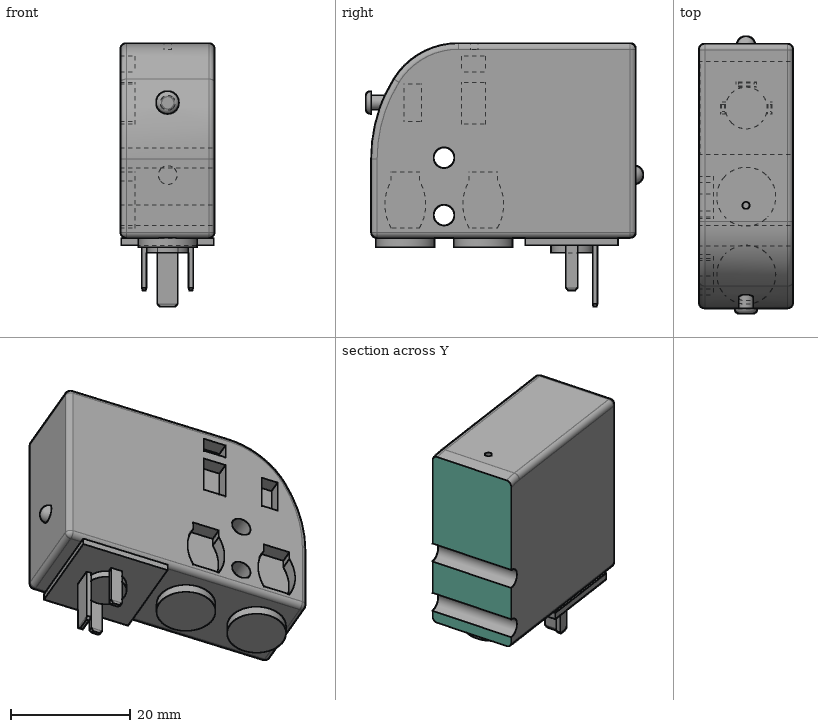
import cadquery as cq
import math


width = 15.85
length = 44.45
height = 32.71
edge_round = 1.0

upper_radius = 12.7
lower_radius = 25.4
nose_start_z = 13.32

port_diameter = 9.9
port_height = 1.57
port_pitch = 13.08
first_port_y = 5.72
port_ys = [first_port_y, first_port_y + port_pitch]

recess_depth = 2.4
bottle_floor_z = 1.73
bottle_shoulder_z = 9.63
bottle_top_z = 11.1
bottle_neck_width = 4.75
bottle_belly_width = 6.86
window_width = 4.03
window_y = 17.2
upper_window_z = (27.89, 30.56)
lower_window_z = (19.2, 26.16)
front_window_width = 2.93
front_window_y = 7.0
front_window_z = (19.61, 25.86)

mount_hole_diameter = 3.42
mount_hole_y = first_port_y + port_pitch / 2
mount_hole_zs = [3.84, 13.47]

top_hole_diameter = 1.2
top_hole_depth = 1.0
top_hole_y = 17.3

button_z = 22.73
button_stem_diameter = 2.5
button_head_diameter = 3.86
button_head_thickness = 0.98
button_head_round = 0.9
button_reach = 0.91
button_stem_end_y = 5.0

dome_z = 10.6
dome_radius = 1.6
dome_reach = 1.27

plate_side = 15.6
plate_thickness = 1.22
plate_y = 33.68
boss_diameter = 7.0
boss_bottom_z = -2.48
contact_offset = 3.92
contact_thickness = 0.82
contact_width = 2.03
contact_bottom_z = -8.82
ground_width = 3.46
ground_bottom_z = -11.56
tip_height = 0.5
tip_side_inset = 0.45
tip_face_inset = 0.15


def side_plane():
    """Sketch plane on the -X side face, with local axes along Y and Z."""
    return cq.Workplane("YZ", origin=(-width / 2, 0, 0))


def make_shell():
    """Rounded block with the two-arc nose at its upper front corner."""
    upper_centre_z = height - upper_radius
    rise = upper_centre_z - nose_start_z
    centre_distance = lower_radius - upper_radius
    tangent_angle = math.asin(rise / centre_distance)
    upper_centre_y = lower_radius - centre_distance * math.cos(tangent_angle)

    def lower_point(angle):
        return (lower_radius * (1 - math.cos(angle)), nose_start_z + lower_radius * math.sin(angle))

    def upper_point(angle):
        point_y = upper_centre_y - upper_radius * math.cos(angle)
        point_z = upper_centre_z + upper_radius * math.sin(angle)
        return (point_y, point_z)

    return (
        side_plane()
        .moveTo(0, 0)
        .lineTo(0, nose_start_z)
        .threePointArc(lower_point(tangent_angle / 2), lower_point(tangent_angle))
        .threePointArc(upper_point((tangent_angle + math.pi / 2) / 2), (upper_centre_y, height))
        .lineTo(length, height)
        .lineTo(length, 0)
        .close()
        .extrude(width)
        .edges("<X or >X or <Z or >Y")
        .fillet(edge_round)
    )


def make_window(centre_y, opening_width, z_range):
    bottom_z, top_z = z_range
    return (
        side_plane()
        .center(centre_y, (bottom_z + top_z) / 2)
        .rect(opening_width, top_z - bottom_z)
        .extrude(recess_depth)
    )


def make_bottle_recess(centre_y):
    half_neck = bottle_neck_width / 2
    half_belly = bottle_belly_width / 2
    belly_z = (bottle_floor_z + bottle_shoulder_z) / 2
    return (
        side_plane()
        .center(centre_y, 0)
        .moveTo(-half_neck, bottle_floor_z)
        .lineTo(half_neck, bottle_floor_z)
        .threePointArc((half_belly, belly_z), (half_neck, bottle_shoulder_z))
        .lineTo(half_neck, bottle_top_z)
        .lineTo(-half_neck, bottle_top_z)
        .lineTo(-half_neck, bottle_shoulder_z)
        .threePointArc((-half_belly, belly_z), (-half_neck, bottle_floor_z))
        .close()
        .extrude(recess_depth)
    )


def make_button():
    """Mushroom button whose axis runs along Y."""
    head_back_y = button_head_thickness - button_reach
    back_plane = cq.Workplane("XZ", origin=(0, head_back_y, button_z))
    head = (
        back_plane.circle(button_head_diameter / 2).extrude(button_head_thickness)
        .faces("<Y").edges().fillet(button_head_round)
    )
    stem = back_plane.circle(button_stem_diameter / 2).extrude(head_back_y - button_stem_end_y)
    return head.union(stem)


def make_housing():
    body = make_shell()

    for port_y in port_ys:
        port = cq.Workplane("XY", origin=(0, port_y, -port_height)).circle(port_diameter / 2)
        body = body.union(port.extrude(port_height + edge_round))
        body = body.cut(make_bottle_recess(port_y))

    body = body.cut(make_window(window_y, window_width, upper_window_z))
    body = body.cut(make_window(window_y, window_width, lower_window_z))
    body = body.cut(make_window(front_window_y, front_window_width, front_window_z))

    for hole_z in mount_hole_zs:
        hole = side_plane().center(mount_hole_y, hole_z).circle(mount_hole_diameter / 2)
        body = body.cut(hole.extrude(width))

    top_hole = cq.Workplane("XY", origin=(0, top_hole_y, height)).circle(top_hole_diameter / 2)
    body = body.cut(top_hole.extrude(-top_hole_depth))

    dome_centre_y = length + dome_reach - dome_radius
    dome = cq.Workplane("XY", origin=(0, dome_centre_y, dome_z)).sphere(dome_radius)
    return body.union(make_button()).union(dome)


def make_blade(x, y, x_size, y_size, bottom_z):
    """Flat contact blade hanging from the plate, with a tapered tip."""
    wide_along_x = x_size > y_size
    x_inset = tip_side_inset if wide_along_x else tip_face_inset
    y_inset = tip_face_inset if wide_along_x else tip_side_inset
    tip_top_z = bottom_z + tip_height
    shank = cq.Workplane("XY", origin=(x, y, tip_top_z)).rect(x_size, y_size).extrude(-tip_top_z)
    tip = (
        cq.Workplane("XY", origin=(x, y, bottom_z))
        .rect(x_size - 2 * x_inset, y_size - 2 * y_inset)
        .workplane(offset=tip_height)
        .rect(x_size, y_size)
        .loft(ruled=True)
    )
    return shank.union(tip)


def make_connector():
    base = cq.Workplane("XY").center(0, plate_y)
    body = base.rect(plate_side, plate_side).extrude(-plate_thickness)
    body = body.union(base.circle(boss_diameter / 2).extrude(boss_bottom_z))
    for side in (-1, 1):
        contact_x = side * contact_offset
        body = body.union(make_blade(contact_x, plate_y, contact_thickness, contact_width, contact_bottom_z))
    ground_y = plate_y + contact_offset
    return body.union(make_blade(0, ground_y, ground_width, contact_thickness, ground_bottom_z))


housing = make_housing()
connector = make_connector()
result = cq.Compound.makeCompound([housing.val(), connector.val()])